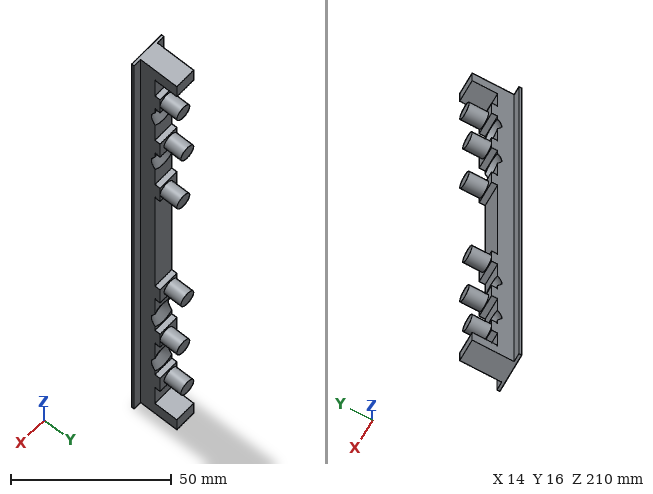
import cadquery as cq

LENGTH = 210.0
DEPTH = 16.0
FLANGE_WIDTH = 14.0
FLANGE_THICKNESS = 1.0
WEB_WIDTH = 8.0
WEB_BACK = 7.0
END_BLOCK_HEIGHT = 6.0

PIN_DIAMETER = 6.0
PIN_SIDE_OFFSET = (WEB_WIDTH - PIN_DIAMETER) / 2
PAD_BACK = 9.0
PAD_HEIGHT = WEB_WIDTH
PIN_PITCH = 27.0
INNER_PIN_HEIGHT = 31.0
PINS_PER_HALF = 3

HOLE_DIAMETER = 5.0
COUNTERSINK_DIAMETER = 11.0
COUNTERSINK_DEPTH = (COUNTERSINK_DIAMETER - HOLE_DIAMETER) / 2
INNER_HOLE_HEIGHT = 48.0

FRONT = -DEPTH / 2
BACKWARD = cq.Vector(0, 1, 0)


def slab(width, y_start, y_end, height, z_center=0.0):
    """Block centred on X, spanning two distances from the flange front."""
    return (
        cq.Workplane("XY")
        .box(width, y_end - y_start, height, centered=(True, False, True))
        .translate((0, FRONT + y_start, z_center))
    )


def pin_on_pad(x_center, z_center):
    pad = slab(WEB_WIDTH, 0, PAD_BACK, PAD_HEIGHT, z_center)
    pin = cq.Workplane(
        cq.Solid.makeCylinder(
            PIN_DIAMETER / 2,
            DEPTH - WEB_BACK,
            cq.Vector(x_center, FRONT + WEB_BACK, z_center),
            BACKWARD,
        )
    )
    return pad.union(pin)


def countersunk_hole(z_center):
    """Cutting tool: a through hole with its cone opening at the web back."""
    hole = cq.Solid.makeCylinder(
        HOLE_DIAMETER / 2, WEB_BACK, cq.Vector(0, FRONT, z_center), BACKWARD
    )
    cone = cq.Solid.makeCone(
        HOLE_DIAMETER / 2,
        COUNTERSINK_DIAMETER / 2,
        COUNTERSINK_DEPTH,
        cq.Vector(0, FRONT + WEB_BACK - COUNTERSINK_DEPTH, z_center),
        BACKWARD,
    )
    return cq.Workplane(hole).union(cq.Workplane(cone))


body = slab(FLANGE_WIDTH, 0, FLANGE_THICKNESS, LENGTH)
body = body.union(slab(WEB_WIDTH, 0, WEB_BACK, LENGTH))
end_block_z = (LENGTH - END_BLOCK_HEIGHT) / 2
for end in (-1, 1):
    body = body.union(slab(WEB_WIDTH, 0, DEPTH, END_BLOCK_HEIGHT, end * end_block_z))

pin_heights = [INNER_PIN_HEIGHT + i * PIN_PITCH for i in range(PINS_PER_HALF)]
all_pin_heights = sorted(pin_heights + [-z for z in pin_heights])
for index, z in enumerate(all_pin_heights):
    side = -1 if index % 2 == 0 else 1
    body = body.union(pin_on_pad(side * PIN_SIDE_OFFSET, z))

for z in (INNER_HOLE_HEIGHT, INNER_HOLE_HEIGHT + PIN_PITCH):
    for end in (-1, 1):
        body = body.cut(countersunk_hole(end * z))

result = body